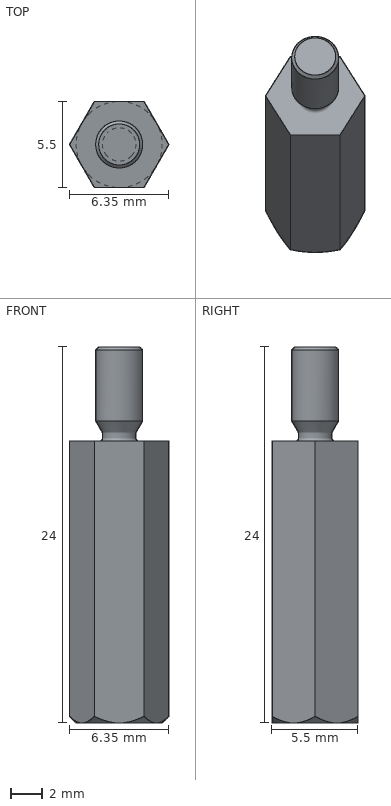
import cadquery as cq
import math

total_length = 24.0
body_length = 18.0
across_flats = 5.5
stud_diameter = 3.0
tip_chamfer = 0.2
neck_diameter = 2.14
undercut_length = 1.27
undercut_angle = 30.0
undercut_fillet = 0.2

across_corners = across_flats / math.cos(math.radians(30))
corner_radius = across_corners / 2
flat_radius = across_flats / 2
stud_radius = stud_diameter / 2
neck_radius = neck_diameter / 2
cone_height = (stud_radius - neck_radius) / math.tan(math.radians(undercut_angle))
cone_top = body_length + undercut_length
cone_bottom = cone_top - cone_height


def hex_body():
    """Hexagonal body, its lower corners turned off by a 45 degree cone."""
    prism = cq.Workplane("XY").polygon(6, across_corners).extrude(body_length)
    corner_cut = corner_radius - flat_radius
    turned_blank = (
        cq.Workplane("XZ")
        .moveTo(0, 0)
        .lineTo(flat_radius, 0)
        .lineTo(flat_radius + 2 * corner_cut, 2 * corner_cut)
        .lineTo(flat_radius + 2 * corner_cut, body_length)
        .lineTo(0, body_length)
        .close()
        .revolve(360, (0, 0, 0), (0, 1, 0))
    )
    return prism.intersect(turned_blank)


def stud():
    """Round stud with a chamfered tip and a filleted undercut at its root."""
    cone_slope = math.radians(undercut_angle)
    tangent_length = undercut_fillet * math.tan(cone_slope / 2)
    arc_start = (neck_radius, cone_bottom - tangent_length)
    arc_end = (
        neck_radius + tangent_length * math.sin(cone_slope),
        cone_bottom + tangent_length * math.cos(cone_slope),
    )
    return (
        cq.Workplane("XZ")
        .moveTo(0, body_length)
        .lineTo(neck_radius + undercut_fillet, body_length)
        .radiusArc((neck_radius, body_length + undercut_fillet), undercut_fillet)
        .lineTo(*arc_start)
        .tangentArcPoint(arc_end, relative=False)
        .lineTo(stud_radius, cone_top)
        .lineTo(stud_radius, total_length - tip_chamfer)
        .lineTo(stud_radius - tip_chamfer, total_length)
        .lineTo(0, total_length)
        .close()
        .revolve(360, (0, 0, 0), (0, 1, 0))
    )


result = hex_body().union(stud())